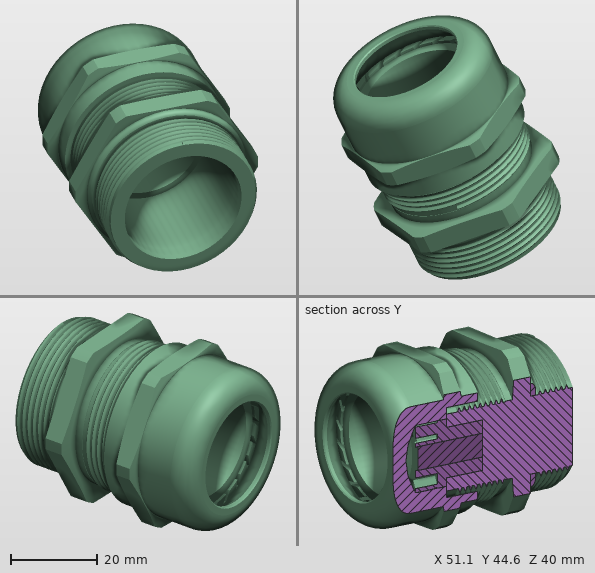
import cadquery as cq
import math

LENGTH = 51.1

HEX_FLATS = 40.0
HEX_CORNERS = 44.6
CAP_HEX_WIDTH = 5.0
BODY_HEX_WIDTH = 5.25
HEX_CHAMFER = 0.6
CAP_HEX_START = 14.4
BODY_HEX_START = 33.9

RIDGE_BASE = 1.0
CREST_DIAMETER = 36.6
RIDGE_SINK = 0.15
FRONT_THREAD_START = 18.25
FRONT_THREAD_TURNS = 8.75
REAR_THREAD_START = 41.2
REAR_THREAD_TURNS = 6.25
REAR_THREAD_LENGTH = 9.4
PITCH = REAR_THREAD_LENGTH / REAR_THREAD_TURNS

CAP_DIAMETER = 39.6
CAP_END = 24.2
DOME_RADIUS = 5.1
MOUTH_DIAMETER = 25.6
MOUTH_CHAMFER = 0.25
CONE_START = 1.05
CONE_END = 6.65
CAP_THREAD_BORE = 36.95

CAGE_START = 6.5
CAGE_DIAMETER = 34.0
CAGE_BORE = 30.35
CAGE_SPIGOT_DIAMETER = 32.35
FINGER_COUNT = 20
FINGER_LENGTH = 6.15
FINGER_GAP = 0.9
GAP_SKEW = 50.0

SEAL_START = 7.2
SEAL_BORE = 25.45

BODY_START = 15.35
SEAT_POSITION = 25.55
BODY_BORE = 28.5
FRONT_ROOT_DIAMETER = 35.25
COLLAR_DIAMETER = 35.45
COLLAR_START = 32.0
REAR_ROOT_DIAMETER = 35.4

GASKET_END = 40.6
GASKET_DIAMETER = 39.05
GASKET_EDGE_DROP = 0.85

BODY_HEX_END = BODY_HEX_START + BODY_HEX_WIDTH


def revolve(outline):
    """Turn (x, radius) points about the X axis."""
    return cq.Workplane("XY").polyline(outline).close().revolve(360, (0, 0, 0), (1, 0, 0))


def cylinder(start, end, diameter):
    return cq.Workplane("YZ").workplane(offset=start).circle(diameter / 2).extrude(end - start)


def tube(start, end, diameter, bore):
    return cylinder(start, end, diameter).cut(cylinder(start, end, bore))


def hexagon(start, width, front_radius, rear_radius):
    """Hexagon with flats facing +Z and -Z and its corners turned round.

    A cone at each end starts from the given radius; from the corner radius it leaves the end plain.
    """
    end = start + width
    corner_radius = HEX_CORNERS / 2
    prism = (
        cq.Workplane("YZ")
        .workplane(offset=start)
        .polygon(6, HEX_FLATS / math.cos(math.pi / 6))
        .extrude(width)
    )
    outline = [(start, 0), (start, front_radius), (start + HEX_CHAMFER, corner_radius)]
    if rear_radius < corner_radius:
        outline.append((end - HEX_CHAMFER, corner_radius))
    outline += [(end, rear_radius), (end, 0)]
    return prism.intersect(revolve(outline))


def thread_ridge(start, turns, root_diameter):
    """Right-handed triangular ridge that starts on the +Y side."""
    crest_radius = CREST_DIAMETER / 2
    base_radius = root_diameter / 2 - RIDGE_SINK
    half_base = RIDGE_BASE / 2 * (crest_radius - base_radius) / (crest_radius - root_diameter / 2)
    helix = cq.Wire.makeHelix(PITCH, PITCH * turns, base_radius)
    ridge = (
        cq.Workplane("XZ")
        .polyline([(base_radius, -half_base), (crest_radius, 0), (base_radius, half_base)])
        .close()
        .sweep(cq.Workplane(helix), isFrenet=True)
    )
    return ridge.rotate((0, 0, 0), (1, 1, 1), 120).translate((start, 0, 0))


def cone_radius(x):
    """Radius at x of the cone inside the dome, which presses the cage fingers inwards."""
    mouth = MOUTH_DIAMETER / 2
    return mouth + (CAGE_DIAMETER / 2 - mouth) * (x - CONE_START) / (CONE_END - CONE_START)


def make_cap():
    cap = cylinder(0, CAP_END, CAP_DIAMETER).faces("<X").edges().fillet(DOME_RADIUS)
    cap = cap.union(hexagon(CAP_HEX_START, CAP_HEX_WIDTH, HEX_FLATS / 2, HEX_FLATS / 2))
    mouth = MOUTH_DIAMETER / 2
    cage_radius = CAGE_DIAMETER / 2
    thread_radius = CAP_THREAD_BORE / 2
    cavity = revolve([
        (0, 0),
        (0, mouth + MOUTH_CHAMFER),
        (MOUTH_CHAMFER, mouth),
        (CONE_START, mouth),
        (CONE_END, cage_radius),
        (BODY_START, cage_radius),
        (BODY_START, thread_radius),
        (CAP_END, thread_radius),
        (CAP_END, 0),
    ])
    return cap.cut(cavity)


def make_cage():
    """Ring of fingers around the seal, on a spigot that fits into the body."""
    bore_radius = CAGE_BORE / 2
    cage_radius = CAGE_DIAMETER / 2
    spigot_radius = CAGE_SPIGOT_DIAMETER / 2
    cage = revolve([
        (CAGE_START, bore_radius),
        (CAGE_START, cone_radius(CAGE_START)),
        (CONE_END, cage_radius),
        (BODY_START, cage_radius),
        (BODY_START, spigot_radius),
        (SEAT_POSITION, spigot_radius),
        (SEAT_POSITION, bore_radius),
    ])
    gap_depth = 2 * (CAGE_DIAMETER - CAGE_BORE)
    gap = (
        cq.Workplane("XY")
        .box(FINGER_LENGTH, gap_depth, FINGER_GAP, centered=(False, True, True))
        .rotate((0, 0, 0), (1, 0, 0), GAP_SKEW)
        .translate((CAGE_START, bore_radius, 0))
    )
    for i in range(FINGER_COUNT):
        cage = cage.cut(gap.rotate((0, 0, 0), (1, 0, 0), i * 360 / FINGER_COUNT))
    return cage


def make_seal():
    return tube(SEAL_START, SEAT_POSITION, CAGE_BORE, SEAL_BORE)


def make_body():
    body = cylinder(BODY_START, COLLAR_START, FRONT_ROOT_DIAMETER)
    body = body.union(cylinder(COLLAR_START, BODY_HEX_START, COLLAR_DIAMETER))
    body = body.union(cylinder(BODY_HEX_END, LENGTH, REAR_ROOT_DIAMETER))
    body = body.union(hexagon(BODY_HEX_START, BODY_HEX_WIDTH, COLLAR_DIAMETER / 2, HEX_CORNERS / 2))
    body = body.union(thread_ridge(FRONT_THREAD_START, FRONT_THREAD_TURNS, FRONT_ROOT_DIAMETER))
    body = body.union(thread_ridge(REAR_THREAD_START, REAR_THREAD_TURNS, REAR_ROOT_DIAMETER))
    body = body.cut(cylinder(LENGTH, LENGTH + PITCH, CAP_DIAMETER))
    body = body.cut(cylinder(BODY_START, SEAT_POSITION, CAGE_SPIGOT_DIAMETER))
    return body.cut(cylinder(SEAT_POSITION, LENGTH, BODY_BORE))


def make_gasket():
    """Flat ring beside the hexagon whose rim curves down towards the rear thread."""
    width = GASKET_END - BODY_HEX_END
    rim_radius = GASKET_DIAMETER / 2
    bore_radius = REAR_ROOT_DIAMETER / 2
    arc_radius = (width**2 + GASKET_EDGE_DROP**2) / (2 * GASKET_EDGE_DROP)
    return (
        cq.Workplane("XY")
        .moveTo(BODY_HEX_END, bore_radius)
        .lineTo(BODY_HEX_END, rim_radius)
        .radiusArc((GASKET_END, rim_radius - GASKET_EDGE_DROP), arc_radius)
        .lineTo(GASKET_END, bore_radius)
        .close()
        .revolve(360, (0, 0, 0), (1, 0, 0))
    )


cap = make_cap()
cage = make_cage()
seal = make_seal()
body = make_body()
gasket = make_gasket()

result = cq.Compound.makeCompound([cap.val(), cage.val(), seal.val(), body.val(), gasket.val()])